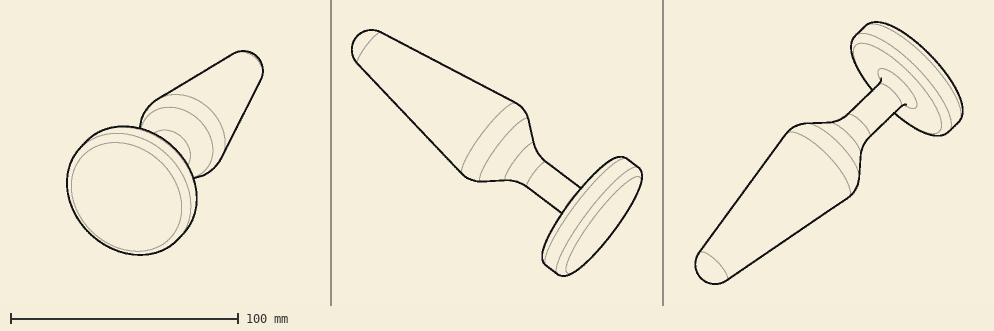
import cadquery as cq
import math

LENGTH = 139.0
BASE_RADIUS = 29.5
BASE_THICKNESS = 12.5
BASE_EDGE_RADIUS = 3.0
STEM_RADIUS = 7.0
STEM_FOOT_RADIUS = 4.7
STEM_END = 37.7
NECK_BLEND_RADIUS = 15.0
SHOULDER_RADIUS = 10.5
TIP_RADIUS = 8.8
TAPER_ANGLE = math.radians(9.25)
NECK_ANGLE = math.radians(39.3)


def arc_point(center, radius, angle):
    """Profile point on a circle; angle is measured from radial towards +Y."""
    return (
        center[0] + radius * math.cos(angle),
        center[1] + radius * math.sin(angle),
    )


def shoulder_center():
    """Centre of the circle tangent to both the taper and the neck cone."""
    taper_offset = (
        tip_center[0] * math.cos(TAPER_ANGLE) + tip_center[1] * math.sin(TAPER_ANGLE) + TIP_RADIUS
    )
    neck_offset = (
        neck_center[0] * math.cos(NECK_ANGLE) - neck_center[1] * math.sin(NECK_ANGLE)
        - NECK_BLEND_RADIUS
    )
    taper_inner = taper_offset - SHOULDER_RADIUS
    neck_inner = neck_offset - SHOULDER_RADIUS
    determinant = math.sin(TAPER_ANGLE + NECK_ANGLE)
    radial = (taper_inner * math.sin(NECK_ANGLE) + neck_inner * math.sin(TAPER_ANGLE)) / determinant
    axial = (taper_inner * math.cos(NECK_ANGLE) - neck_inner * math.cos(TAPER_ANGLE)) / determinant
    return (radial, axial)


def add_arc(profile, center, radius, start, end):
    """Draw to the start of a circular arc, then along it to its end."""
    return profile.lineTo(*arc_point(center, radius, start)).threePointArc(
        arc_point(center, radius, (start + end) / 2), arc_point(center, radius, end)
    )


edge_center_radius = BASE_RADIUS - BASE_EDGE_RADIUS
lower_edge_center = (edge_center_radius, BASE_EDGE_RADIUS)
upper_edge_center = (edge_center_radius, BASE_THICKNESS - BASE_EDGE_RADIUS)
foot_center = (STEM_RADIUS + STEM_FOOT_RADIUS, BASE_THICKNESS + STEM_FOOT_RADIUS)
neck_center = (STEM_RADIUS + NECK_BLEND_RADIUS, STEM_END)
tip_center = (0, LENGTH - TIP_RADIUS)

QUARTER = math.pi / 2
HALF = math.pi

profile = cq.Workplane("XY").moveTo(0, 0)
profile = add_arc(profile, lower_edge_center, BASE_EDGE_RADIUS, -QUARTER, 0)
profile = add_arc(profile, upper_edge_center, BASE_EDGE_RADIUS, 0, QUARTER)
profile = add_arc(profile, foot_center, STEM_FOOT_RADIUS, -QUARTER, -HALF)
profile = add_arc(profile, neck_center, NECK_BLEND_RADIUS, HALF, HALF - NECK_ANGLE)
profile = add_arc(profile, shoulder_center(), SHOULDER_RADIUS, -NECK_ANGLE, TAPER_ANGLE)
profile = add_arc(profile, tip_center, TIP_RADIUS, TAPER_ANGLE, QUARTER)

result = profile.close().revolve(360, (0, 0, 0), (0, 1, 0))